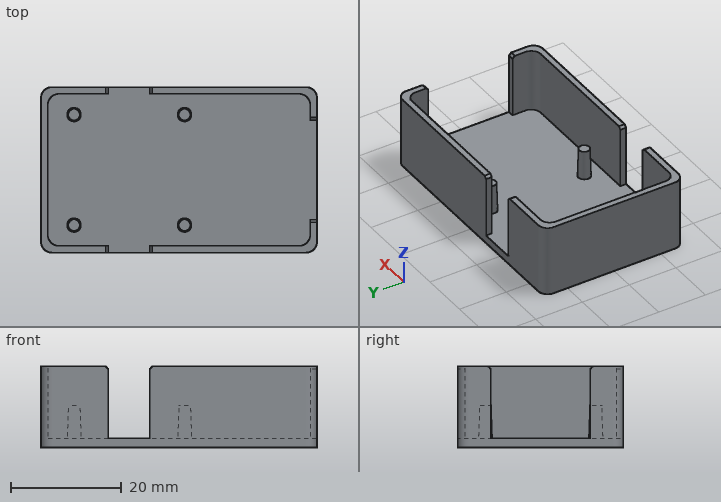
import cadquery as cq

length = 50.0
width = 30.0
height = 14.75
floor_thickness = 1.7
wall_thickness = 1.25
outer_radius = 2.0
inner_radius = 2.0

side_opening_start = -12.8
side_opening_end = -5.3
end_opening_width = 18.0
opening_chamfer = 0.5

post_base_diameter = 2.5
post_top_diameter = 2.1
post_height = 6.0
post_spacing = 20.0
post_center_x = -9.0

wall_height = height - floor_thickness


def rounded_block(size_x, size_y, size_z, radius, bottom_z):
    """Block centered on Z with rounded vertical edges."""
    block = cq.Workplane("XY").box(size_x, size_y, size_z, centered=(True, True, False))
    return block.edges("|Z").fillet(radius).translate((0, 0, bottom_z))


def opening_profile(plane, start, end):
    """Closed outline of a full-height opening with chamfered top corners."""
    return (
        cq.Workplane(plane)
        .moveTo(start, floor_thickness)
        .lineTo(end, floor_thickness)
        .lineTo(end, height - opening_chamfer)
        .lineTo(end + opening_chamfer, height)
        .lineTo(start - opening_chamfer, height)
        .lineTo(start, height - opening_chamfer)
        .close()
    )


def post(x, y):
    """Tapered round post standing on the floor."""
    return cq.Workplane(
        cq.Solid.makeCone(
            post_base_diameter / 2,
            post_top_diameter / 2,
            post_height,
            pnt=cq.Vector(x, y, floor_thickness),
        )
    )


floor = rounded_block(length, width, floor_thickness, outer_radius, 0)
outer_wall = rounded_block(length, width, wall_height, outer_radius, floor_thickness)
cavity = rounded_block(
    length - 2 * wall_thickness,
    width - 2 * wall_thickness,
    wall_height,
    inner_radius,
    floor_thickness,
)
wall = outer_wall.cut(cavity)

side_opening = opening_profile("XZ", side_opening_start, side_opening_end).extrude(width / 2, both=True)
end_opening = opening_profile("YZ", -end_opening_width / 2, end_opening_width / 2).extrude(length / 2)
wall = wall.cut(side_opening).cut(end_opening)

result = floor.union(wall)

for x_side in (-1, 1):
    for y_side in (-1, 1):
        post_x = post_center_x + x_side * post_spacing / 2
        post_y = y_side * post_spacing / 2
        result = result.union(post(post_x, post_y))